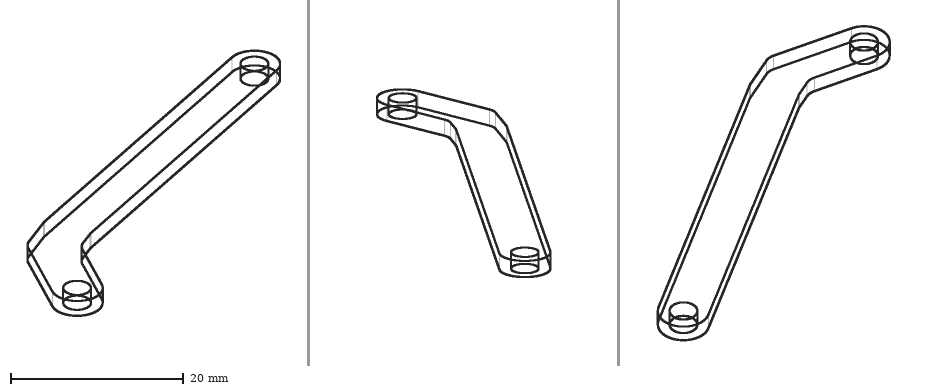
import cadquery as cq
import math

length = 61.0
width = 12.5
thickness = 2.0
end_radius = 3.0
hole_diameter = 3.25
bend_radius = 2.0
lower_hole_x = 9.1
lower_bend_y = 11.0
upper_bend_y = 15.3

lower_hole = (lower_hole_x, end_radius)
lower_bend = (end_radius, lower_bend_y)
upper_bend = (end_radius, upper_bend_y)
upper_hole = (width - end_radius, length - end_radius)


def heading(start, end):
    """Direction angle of the line from start to end, in radians."""
    return math.atan2(end[1] - start[1], end[0] - start[0])


def shifted(point, angle, distance):
    """Point moved by a distance along a direction angle."""
    return (point[0] + distance * math.cos(angle), point[1] + distance * math.sin(angle))


def mitre_corner(before, bend, after, side):
    """Outline corner at a bend; side is +1 left or -1 right of the centreline."""
    angle_in = heading(before, bend)
    angle_out = heading(bend, after)
    normal = (angle_in + angle_out + math.pi) / 2
    distance = side * end_radius / math.cos((angle_out - angle_in) / 2)
    return shifted(bend, normal, distance)


def bend_corners(side):
    """The lower and upper bend corners on one side of the bar."""
    return [
        mitre_corner(lower_hole, lower_bend, upper_bend, side),
        mitre_corner(lower_bend, upper_bend, upper_hole, side),
    ]


lower_angle = heading(lower_hole, lower_bend)
upper_angle = heading(upper_bend, upper_hole)
quarter_turn = math.pi / 2
left_corners = bend_corners(1)
right_corners = bend_corners(-1)

outline = cq.Workplane("XY").moveTo(*shifted(lower_hole, lower_angle + quarter_turn, end_radius))
for corner in left_corners:
    outline = outline.lineTo(*corner)
outline = outline.lineTo(*shifted(upper_hole, upper_angle + quarter_turn, end_radius))
outline = outline.threePointArc(
    shifted(upper_hole, upper_angle, end_radius),
    shifted(upper_hole, upper_angle - quarter_turn, end_radius),
)
for corner in reversed(right_corners):
    outline = outline.lineTo(*corner)
outline = outline.lineTo(*shifted(lower_hole, lower_angle - quarter_turn, end_radius))
outline = outline.threePointArc(
    shifted(lower_hole, lower_angle, -end_radius),
    shifted(lower_hole, lower_angle + quarter_turn, end_radius),
)
bar = outline.close().extrude(thickness)

for corner in left_corners + right_corners:
    nearest_edge = cq.selectors.NearestToPointSelector((*corner, thickness / 2))
    bar = bar.edges(nearest_edge).fillet(bend_radius)

holes = (
    cq.Workplane("XY")
    .pushPoints([lower_hole, upper_hole])
    .circle(hole_diameter / 2)
    .extrude(thickness)
)
result = bar.cut(holes)